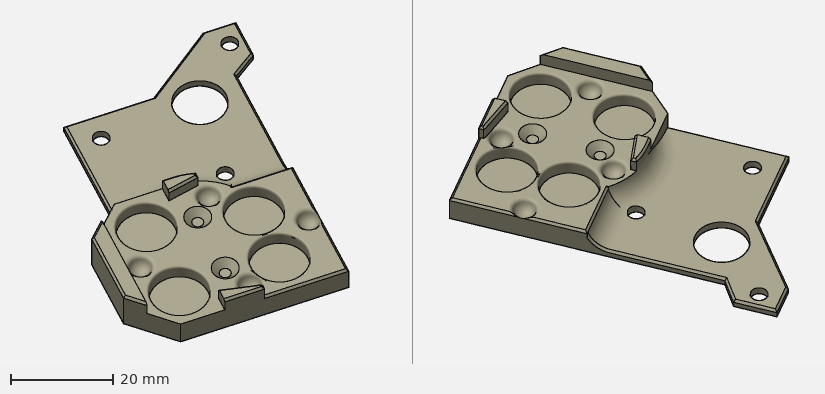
import cadquery as cq
import math

PLATE_HEIGHT = 1.7
BLOCK_HEIGHT = 5.5
TOTAL_HEIGHT = 8.4
EDGE_CHAMFER = 0.5

BACK_Y = 44.25
PLATE_FRONT_Y = 8.0
PLATE_LEFT_X = 11.5
PLATE_BURIED_X = 43.1
EAR_BACK_Y = 49.35
EAR_FRONT_Y = 42.4
EAR_RIGHT_X = 8.95
EAR_NECK_X = 12.5
EAR_NECK_Y = 27.1

BLOCK_LEFT_X = 36.5
BLOCK_RIGHT_X = 69.5
FRONT_LEFT_X = 44.75
FRONT_RIGHT_X = 60.95

BLEND_RADIUS = 5.0
BLEND_STRAIGHT_X = 36.3
BLEND_CENTER = (50.5, 20.8)
BLEND_BASE = 0.7
BLEND_BACKING = 0.7

LIP_DEPTH = 3.55
LEFT_TAB_FACE = [(39.8, 18.5), (38.4, 25.2)]
RIGHT_TAB_FACE = [(66.3, 17.9), (68.2, 25.85), (68.45, 26.4)]

SMALL_HOLE_DIAMETER = 3.5
SMALL_HOLES = [(4.8, 46.1), (34.8, 32.5), (17.15, 13.55)]
LARGE_HOLE_DIAMETER = 11.05
LARGE_HOLE = (16.3, 34.9)

POCKET_DIAMETER = 12.0
POCKET_DEPTH = 3.0
POCKET_RIM_RADIUS = 0.5
POCKETS = [(48.5, 32.95), (61.35, 32.95), (44.2, 11.9), (61.65, 11.6)]

BALL_RADIUS = 2.35
BALL_RIM_RADIUS = 1.0
BALL_SEATS = [(54.7, 42.0), (41.6, 26.2), (65.2, 25.1), (52.95, 6.95)]

SINK_DIAMETER = 5.5
SINK_FLOOR_DIAMETER = 2.35
SINKS = [(45.8, 22.1), (59.75, 22.1)]


def blend_reach(height):
    """Distance from the foot of the blend to its surface at a height above the plate."""
    return math.sqrt(BLEND_RADIUS**2 - (BLEND_RADIUS - height) ** 2)


def slab(outline, bottom, top):
    """Flat solid with a straight-sided outline between two levels."""
    return cq.Workplane("XY").workplane(offset=bottom).polyline(outline).close().extrude(top - bottom)


SHOULDER_HEIGHT = BLOCK_HEIGHT - EDGE_CHAMFER
BLOCK_STEP_X = BLEND_STRAIGHT_X + blend_reach(SHOULDER_HEIGHT - PLATE_HEIGHT)
WALL_RADIUS = BLEND_CENTER[0] - BLOCK_LEFT_X
BLEND_OUTER_RADIUS = WALL_RADIUS + blend_reach(BLOCK_HEIGHT - PLATE_HEIGHT)


def on_wall(x):
    """Point of the round wall at the given x, on its back half."""
    return (x, BLEND_CENTER[1] + math.sqrt(WALL_RADIUS**2 - (BLEND_CENTER[0] - x) ** 2))


STEP_Y = on_wall(BLOCK_STEP_X)[1]


def make_plate():
    outline = [
        (0, EAR_BACK_Y),
        (EAR_RIGHT_X, EAR_BACK_Y),
        (EAR_NECK_X, BACK_Y),
        (PLATE_BURIED_X, BACK_Y),
        (PLATE_BURIED_X, PLATE_FRONT_Y),
        (PLATE_LEFT_X, PLATE_FRONT_Y),
        (PLATE_LEFT_X, EAR_NECK_Y),
        (0, EAR_FRONT_Y),
    ]
    return slab(outline, 0, PLATE_HEIGHT).faces(">Z").chamfer(EDGE_CHAMFER)


def make_footprint(height):
    """Block outline extruded up from the underside."""
    corner_left_y = FRONT_LEFT_X - BLOCK_LEFT_X
    corner_right_y = BLOCK_RIGHT_X - FRONT_RIGHT_X
    wall_middle = on_wall((BLOCK_STEP_X + BLOCK_LEFT_X) / 2)
    wall_end = (BLOCK_LEFT_X, BLEND_CENTER[1])
    return (
        cq.Workplane("XY")
        .moveTo(BLOCK_RIGHT_X, BACK_Y)
        .lineTo(BLOCK_STEP_X, BACK_Y)
        .lineTo(BLOCK_STEP_X, STEP_Y)
        .threePointArc(wall_middle, wall_end)
        .lineTo(BLOCK_LEFT_X, corner_left_y)
        .lineTo(FRONT_LEFT_X, 0)
        .lineTo(FRONT_RIGHT_X, 0)
        .lineTo(BLOCK_RIGHT_X, corner_right_y)
        .close()
        .extrude(height)
    )


def make_block():
    """Block whose top is chamfered along the step, the back and the right side behind the tab's front."""
    middle_x = (BLOCK_STEP_X + BLOCK_RIGHT_X) / 2
    tab_y = RIGHT_TAB_FACE[0][1]
    rear_outline = [
        (BLOCK_STEP_X, tab_y),
        (BLOCK_RIGHT_X, tab_y),
        (BLOCK_RIGHT_X, BACK_Y),
        (BLOCK_STEP_X, BACK_Y),
    ]
    sharp_outline = [
        (0, 0),
        (BLOCK_RIGHT_X, 0),
        (BLOCK_RIGHT_X, tab_y),
        (middle_x, tab_y),
        (middle_x, STEP_Y),
        (0, STEP_Y),
    ]
    rear = slab(rear_outline, 0, BLOCK_HEIGHT).faces(">Z").edges("not <Y").chamfer(EDGE_CHAMFER)
    sharp = make_footprint(BLOCK_HEIGHT).intersect(slab(sharp_outline, 0, BLOCK_HEIGHT))
    return rear.union(sharp)


def make_lip():
    """Raised bar along the front edge, chamfered on its outer top edges."""
    band = cq.Workplane("XY").box(BLOCK_RIGHT_X, LIP_DEPTH, TOTAL_HEIGHT, centered=False)
    lip = make_footprint(TOTAL_HEIGHT).intersect(band)
    return lip.faces(">Z").edges("not >Y").chamfer(EDGE_CHAMFER)


def make_tab(inner_face, side_x):
    """Tapered tab between the block's side wall and a slanted inner face."""
    front_y = inner_face[0][1]
    tip_y = inner_face[-1][1]
    outline = inner_face + [(side_x, tip_y), (side_x, front_y)]
    tab = make_footprint(TOTAL_HEIGHT).intersect(slab(outline, SHOULDER_HEIGHT, TOTAL_HEIGHT))
    return tab.faces(">Z").edges("not <Y").chamfer(EDGE_CHAMFER)


def blend_profile(foot, direction, top):
    """Sketch in the XZ plane: concave arc rising from the foot to the top, with solid under it."""
    reach = blend_reach(top - PLATE_HEIGHT)
    middle = blend_reach((top - PLATE_HEIGHT) / 2)
    back = foot + direction * (reach + BLEND_BACKING)
    return (
        cq.Workplane("XZ")
        .moveTo(foot, PLATE_HEIGHT)
        .threePointArc(
            (foot + direction * middle, (top + PLATE_HEIGHT) / 2),
            (foot + direction * reach, top),
        )
        .lineTo(back, top)
        .lineTo(back, BLEND_BASE)
        .lineTo(foot, BLEND_BASE)
        .close()
    )


def make_blend():
    """Straight and round concave runs that merge along a mitre."""
    straight = (
        blend_profile(BLEND_STRAIGHT_X, 1, SHOULDER_HEIGHT)
        .extrude(STEP_Y - BACK_Y)
        .faces(">Y")
        .edges("%CIRCLE")
        .chamfer(EDGE_CHAMFER)
        .translate((0, STEP_Y, 0))
    )
    ring = (
        blend_profile(BLEND_OUTER_RADIUS, -1, BLOCK_HEIGHT)
        .revolve(360, (0, 0, 0), (0, 1, 0))
        .translate((BLEND_CENTER[0], BLEND_CENTER[1], 0))
    )
    front_y = PLATE_FRONT_Y + EDGE_CHAMFER
    ring_zone = [
        (0, front_y),
        (BLOCK_LEFT_X, front_y),
        (BLOCK_LEFT_X, BLEND_CENTER[1]),
        (BLOCK_STEP_X, STEP_Y),
        (BLOCK_STEP_X, BACK_Y),
        (0, BACK_Y),
    ]
    return straight.union(ring.intersect(slab(ring_zone, 0, BLOCK_HEIGHT)))


def revolve_at(profile, center):
    return profile.revolve(360, (0, 0, 0), (0, 1, 0)).translate((center[0], center[1], 0))


def make_pocket(center):
    """Cutter for a flat round pocket with a rounded rim."""
    floor = BLOCK_HEIGHT - POCKET_DEPTH
    radius = POCKET_DIAMETER / 2
    arc_inset = POCKET_RIM_RADIUS * (1 - math.sqrt(0.5))
    profile = (
        cq.Workplane("XZ")
        .moveTo(0, floor)
        .lineTo(radius, floor)
        .lineTo(radius, BLOCK_HEIGHT - POCKET_RIM_RADIUS)
        .threePointArc(
            (radius + arc_inset, BLOCK_HEIGHT - arc_inset),
            (radius + POCKET_RIM_RADIUS, BLOCK_HEIGHT),
        )
        .lineTo(0, BLOCK_HEIGHT)
        .close()
    )
    return revolve_at(profile, center)


def make_sink(center):
    """Cutter for a 90 degree conical recess with a flat floor."""
    rim = SINK_DIAMETER / 2
    bottom = SINK_FLOOR_DIAMETER / 2
    floor = BLOCK_HEIGHT - (rim - bottom)
    profile = [(0, floor), (bottom, floor), (rim, BLOCK_HEIGHT), (0, BLOCK_HEIGHT)]
    return revolve_at(cq.Workplane("XZ").polyline(profile).close(), center)


def make_ball_seat(center):
    """Cutter for a half ball whose rim is rounded over tangentially."""
    span = BALL_RADIUS + BALL_RIM_RADIUS
    rim_x = math.sqrt(span**2 - BALL_RIM_RADIUS**2)
    drop = math.asin(BALL_RIM_RADIUS / span)
    tangent = (BALL_RADIUS * math.cos(drop), BLOCK_HEIGHT - BALL_RADIUS * math.sin(drop))
    rim_angle = (math.pi / 2 + math.pi - drop) / 2
    rim_middle = (
        rim_x + BALL_RIM_RADIUS * math.cos(rim_angle),
        BLOCK_HEIGHT - BALL_RIM_RADIUS + BALL_RIM_RADIUS * math.sin(rim_angle),
    )
    ball_angle = (math.pi / 2 + drop) / 2
    ball_middle = (BALL_RADIUS * math.cos(ball_angle), BLOCK_HEIGHT - BALL_RADIUS * math.sin(ball_angle))
    profile = (
        cq.Workplane("XZ")
        .moveTo(0, BLOCK_HEIGHT)
        .lineTo(rim_x, BLOCK_HEIGHT)
        .threePointArc(rim_middle, tangent)
        .threePointArc(ball_middle, (0, BLOCK_HEIGHT - BALL_RADIUS))
        .close()
    )
    return revolve_at(profile, center)


def make_drill(center, diameter):
    return cq.Workplane("XY").center(*center).circle(diameter / 2).extrude(TOTAL_HEIGHT)


def make_part():
    part = make_plate().union(make_block()).union(make_blend()).union(make_lip())
    for center in POCKETS:
        part = part.cut(make_pocket(center))
    for center in SINKS:
        part = part.cut(make_sink(center))
    for center in BALL_SEATS:
        part = part.cut(make_ball_seat(center))
    for center in SMALL_HOLES:
        part = part.cut(make_drill(center, SMALL_HOLE_DIAMETER))
    part = part.cut(make_drill(LARGE_HOLE, LARGE_HOLE_DIAMETER))
    part = part.union(make_tab(LEFT_TAB_FACE, BLOCK_LEFT_X))
    return part.union(make_tab(RIGHT_TAB_FACE, BLOCK_RIGHT_X))


result = make_part()